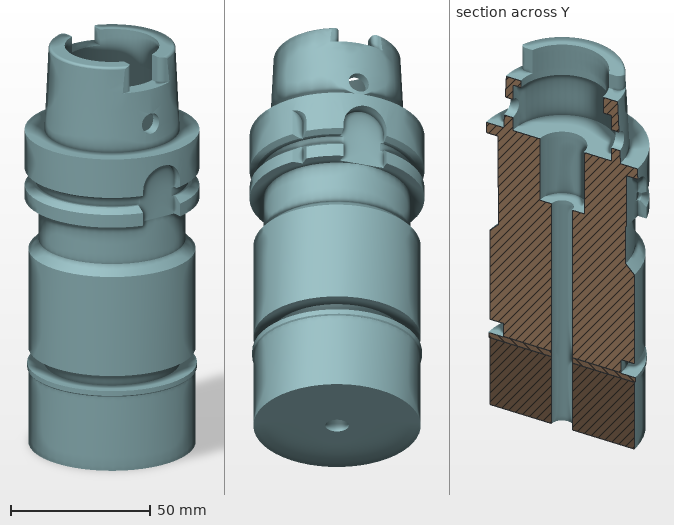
import cadquery as cq
import math

TOTAL_HEIGHT = 152
COLLAR_BOTTOM = 28.5
COLLAR_TOP = 30.7
BARREL_BOTTOM = 36.3
BARREL_SHOULDER = 74.3
FLANGE_BOTTOM = 93.8
GRIP_RIM_BOTTOM = 98.6
GRIP_FLOOR_BOTTOM = 100.6
GRIP_FLOOR_TOP = 104.0
GRIP_RIM_TOP = 105.2
FLANGE_TOP = 120.0

FLANGE_R = 31.5
COLLAR_R = 30.5
BARREL_R = 30.1
NECK_R = 26.5
LOWER_NECK_R = 24.5
GRIP_FLOOR_R = 27.7
GRIP_UPPER_LIP_R = 29.3
GRIP_LOWER_LIP_R = 28.9
TAPER_BASE_R = 24.3
TAPER_TOP_R = 22.8

BARREL_CHAMFER = BARREL_R - NECK_R
COLLAR_CHAMFER = COLLAR_R - BARREL_R
TAPER_FILLET = 1.0

MOUTH_R = 17.0
MOUTH_DEPTH = 12.9
CAVITY_R = 20.4
CAVITY_FLOOR = FLANGE_TOP
COUNTERBORE_R = 9.1
COUNTERBORE_FLOOR = FLANGE_BOTTOM
THROUGH_HOLE_R = 4.3

CROSS_HOLE_R = 3.8
CROSS_HOLE_Z = 129.2

DRIVE_SLOT_WIDTH = 12.5
LUG_END_X = 20.8
LUG_CORNER_R = 2.1
LEFT_SLOT_FLOOR = 145.9
RIGHT_SLOT_FLOOR = 142.1

KEYWAY_WIDTH = 16.4
KEYWAY_TOP = 115.4
KEYWAY_FLOOR_X = 26.8
NOTCH_CORNER = 20.2
NOTCH_R = 5.2
NOTCH_TOP = 115.0

CUT_REACH = 2 * FLANGE_R


def cylinder(radius, bottom, top):
    return cq.Workplane("XY").workplane(offset=bottom).circle(radius).extrude(top - bottom)


def turned_blank():
    """Solid of revolution with the taper, flange, neck and barrel."""
    profile = [
        (0, COLLAR_TOP),
        (LOWER_NECK_R, COLLAR_TOP),
        (LOWER_NECK_R, BARREL_BOTTOM),
        (BARREL_R, BARREL_BOTTOM),
        (BARREL_R, BARREL_SHOULDER),
        (NECK_R, BARREL_SHOULDER + BARREL_CHAMFER),
        (NECK_R, FLANGE_BOTTOM),
        (FLANGE_R, FLANGE_BOTTOM),
        (FLANGE_R, GRIP_RIM_BOTTOM),
        (GRIP_LOWER_LIP_R, GRIP_FLOOR_BOTTOM),
        (GRIP_FLOOR_R, GRIP_FLOOR_BOTTOM),
        (GRIP_FLOOR_R, GRIP_FLOOR_TOP),
        (GRIP_UPPER_LIP_R, GRIP_FLOOR_TOP),
        (FLANGE_R, GRIP_RIM_TOP),
        (FLANGE_R, FLANGE_TOP),
        (TAPER_BASE_R, FLANGE_TOP),
        (TAPER_TOP_R, TOTAL_HEIGHT),
        (0, TOTAL_HEIGHT),
    ]
    blank = cq.Workplane("XZ").polyline(profile).close().revolve(360, (0, 0), (0, 1))
    return blank.faces(">Z").edges().fillet(TAPER_FILLET)


def stepped_bore():
    """Mouth, wider cavity, counterbore and through hole as one cutter."""
    mouth_bottom = TOTAL_HEIGHT - MOUTH_DEPTH
    mouth = cylinder(MOUTH_R, mouth_bottom, TOTAL_HEIGHT)
    cavity = cylinder(CAVITY_R, CAVITY_FLOOR, mouth_bottom)
    counterbore = cylinder(COUNTERBORE_R, COUNTERBORE_FLOOR, CAVITY_FLOOR)
    through_hole = cylinder(THROUGH_HOLE_R, COLLAR_TOP, COUNTERBORE_FLOOR)
    return mouth.union(cavity).union(counterbore).union(through_hole)


def cross_hole():
    return cq.Workplane("YZ").center(0, CROSS_HOLE_Z).circle(CROSS_HOLE_R).extrude(CUT_REACH, both=True)


def drive_slot(side, floor):
    """Slot on one X side that widens past the rounded lug corners."""
    half_width = DRIVE_SLOT_WIDTH / 2
    corner_x = LUG_END_X - LUG_CORNER_R
    corner_y = half_width + LUG_CORNER_R
    bend_x = corner_x + LUG_CORNER_R * math.sin(math.pi / 4)
    bend_y = corner_y - LUG_CORNER_R * math.cos(math.pi / 4)
    return (
        cq.Workplane("XY")
        .workplane(offset=floor)
        .moveTo(0, -half_width)
        .lineTo(side * corner_x, -half_width)
        .threePointArc((side * bend_x, -bend_y), (side * LUG_END_X, -corner_y))
        .lineTo(side * LUG_END_X, -FLANGE_R)
        .lineTo(side * FLANGE_R, -FLANGE_R)
        .lineTo(side * FLANGE_R, FLANGE_R)
        .lineTo(side * LUG_END_X, FLANGE_R)
        .lineTo(side * LUG_END_X, corner_y)
        .threePointArc((side * bend_x, bend_y), (side * corner_x, half_width))
        .lineTo(0, half_width)
        .close()
        .extrude(TOTAL_HEIGHT - floor)
    )


def round_topped_slot(center_y, half_width, top, floor_x, side):
    """Slot with a round top end, open at the flange bottom, cut in along X."""
    arc_z = top - half_width
    return (
        cq.Workplane("YZ")
        .workplane(offset=side * floor_x)
        .moveTo(center_y - half_width, FLANGE_BOTTOM)
        .lineTo(center_y - half_width, arc_z)
        .threePointArc((center_y, top), (center_y + half_width, arc_z))
        .lineTo(center_y + half_width, FLANGE_BOTTOM)
        .close()
        .extrude(side * CUT_REACH)
    )


def make_holder():
    holder = turned_blank().cut(stepped_bore()).cut(cross_hole())
    for side, floor in ((-1, LEFT_SLOT_FLOOR), (1, RIGHT_SLOT_FLOOR)):
        holder = holder.cut(drive_slot(side, floor))
        holder = holder.cut(round_topped_slot(0, KEYWAY_WIDTH / 2, KEYWAY_TOP, KEYWAY_FLOOR_X, side))
    notch = round_topped_slot(NOTCH_CORNER + NOTCH_R, NOTCH_R, NOTCH_TOP, NOTCH_CORNER, -1)
    return holder.cut(notch)


def make_collar():
    collar = cylinder(COLLAR_R, COLLAR_BOTTOM, COLLAR_TOP)
    collar = collar.faces("<Z").edges().chamfer(COLLAR_CHAMFER)
    return collar.cut(cylinder(THROUGH_HOLE_R, COLLAR_BOTTOM, COLLAR_TOP))


def make_end_sleeve():
    return cylinder(BARREL_R, 0, COLLAR_BOTTOM).cut(cylinder(THROUGH_HOLE_R, 0, COLLAR_BOTTOM))


holder = make_holder()
collar = make_collar()
end_sleeve = make_end_sleeve()

result = cq.Compound.makeCompound([holder.val(), collar.val(), end_sleeve.val()])